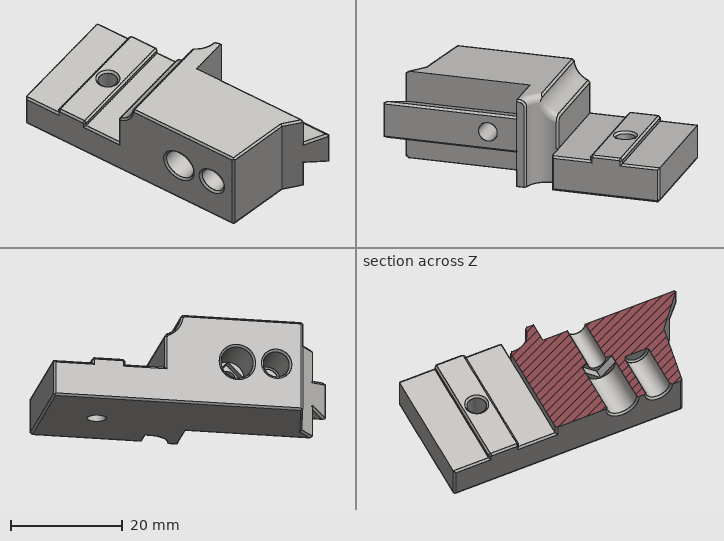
import cadquery as cq
import math

depth = 23.05
height = 16.6
mid_height = height / 2
edge_chamfer = 0.35

foot_length = 20.25
foot_height = 6.6
rib_start = 7.0
rib_width = 6.0
rib_top = 7.6
foot_hole_diameter = 3.5
foot_hole_rim = 4.3

scallop_radius = 4.0
scallop_centre_x = 19.2

notch_radius = 4.0
notch_centre_x = 21.1
notch_floor_y = 19.15
rim_radius = 1.4

pillar_end_x = 26.8
body_back_y = 15.2
rail_back_y = notch_floor_y
rail_half_width = 3.45
rail_flank_angle = 15
rail_bevel_depth = 0.5
tip_x = 53.1
tip_y = 18.85
tip_blunting = 0.2
knee_x = 47.5
knee_y = 12.1
lower_end_angle = 10

square_bore_x = 33.45
square_bore_diameter = 5.9
square_bore_rim = 6.65
square_bore_depth = 9.05
square_depth = 10.6
through_diameter = 3.5
blind_bore_x = 40.6
blind_bore_z = 8.45
blind_bore_diameter = 4.7
blind_bore_rim = 5.5
blind_bore_floor = 4.1
blind_bore_depth = 9.05


def end_x(y):
    """X of the slanted end faces at a given Y."""
    if y < knee_y:
        return knee_x - (knee_y - y) * math.tan(math.radians(lower_end_angle))
    return knee_x + (tip_x - knee_x) * (y - knee_y) / (tip_y - knee_y)


def side_profile():
    """Side outline of foot, rib, scalloped wall and block, swept over the full depth."""
    rib_end = rib_start + rib_width
    scallop_low_z = height - math.sqrt(scallop_radius**2 - (foot_length - scallop_centre_x) ** 2)
    diagonal = scallop_radius * math.sqrt(0.5)
    return (
        cq.Workplane("XZ")
        .moveTo(0, 0)
        .lineTo(0, foot_height)
        .lineTo(rib_start, foot_height)
        .lineTo(rib_start, rib_top - edge_chamfer)
        .lineTo(rib_start + edge_chamfer, rib_top)
        .lineTo(rib_end - edge_chamfer, rib_top)
        .lineTo(rib_end, rib_top - edge_chamfer)
        .lineTo(rib_end, foot_height)
        .lineTo(foot_length, foot_height)
        .lineTo(foot_length, scallop_low_z)
        .threePointArc(
            (scallop_centre_x + diagonal, height - diagonal),
            (scallop_centre_x + scallop_radius, height),
        )
        .lineTo(tip_x, height)
        .lineTo(tip_x, 0)
        .close()
        .extrude(-depth)
    )


def plan_outline():
    """Plan of the block without the rail: foot, notch, shoulder and slanted end."""
    diagonal = notch_radius * math.sqrt(0.5)
    centre_y = notch_floor_y + notch_radius
    notch_mouth = notch_centre_x + math.sqrt(notch_radius**2 - (centre_y - depth) ** 2)
    return (
        cq.Workplane("XY")
        .moveTo(0, 0)
        .lineTo(end_x(0), 0)
        .lineTo(knee_x, knee_y)
        .lineTo(end_x(body_back_y), body_back_y)
        .lineTo(pillar_end_x, body_back_y)
        .lineTo(pillar_end_x, depth)
        .lineTo(notch_mouth, depth)
        .threePointArc((notch_centre_x + diagonal, centre_y - diagonal), (notch_centre_x, notch_floor_y))
        .lineTo(foot_length, notch_floor_y)
        .lineTo(foot_length, depth)
        .lineTo(0, depth)
        .close()
        .extrude(height)
    )


def edges_in(low, high):
    """Selector for edges whose centre lies inside the box between two corners."""
    return cq.selectors.BoxSelector(low, high)


def dovetail_rail():
    """Rail along the back whose flanks widen toward +Y, with a slanted, blunted end."""
    wide_y = rail_back_y - rail_bevel_depth
    neck = rail_half_width - (wide_y - body_back_y) * math.tan(math.radians(rail_flank_angle))
    back_half_width = rail_half_width - edge_chamfer
    half_section = [(body_back_y, neck), (wide_y, rail_half_width), (rail_back_y, back_half_width)]
    mirrored_half = [(y, -half_width) for y, half_width in reversed(half_section)]
    sharp_tip_x = end_x(rail_back_y)
    rail = (
        cq.Workplane("YZ", origin=(pillar_end_x, 0, mid_height))
        .polyline(half_section + mirrored_half)
        .close()
        .extrude(sharp_tip_x - pillar_end_x)
    )
    slanted_end = [
        (end_x(body_back_y), body_back_y),
        (sharp_tip_x, rail_back_y),
        (sharp_tip_x, body_back_y),
    ]
    rail = rail.cut(cq.Workplane("XY").polyline(slanted_end).close().extrude(height))
    flank_ends = edges_in((pillar_end_x + 0.55, body_back_y + 0.05, 0), (tip_x, rail_back_y - 0.05, height))
    rail = rail.edges(flank_ends).edges("not #Z").chamfer(edge_chamfer)
    blunt_tip = [
        (tip_x, tip_y),
        (tip_x - tip_blunting, rail_back_y),
        (sharp_tip_x, rail_back_y),
        (sharp_tip_x, tip_y),
    ]
    return rail.cut(cq.Workplane("XY").polyline(blunt_tip).close().extrude(height))


def chamfer_edges(solid, low, high, direction):
    """Chamfer the edges that lie in a box and match a direction filter."""
    return solid.edges(edges_in(low, high)).edges(direction).chamfer(edge_chamfer)


def rounded_wall_rim(solid):
    """Round the edge where the notch breaks through the scallop and the top face."""
    low = (foot_length, notch_floor_y - 0.55, foot_height + 0.55)
    high = (pillar_end_x - 0.55, depth - 0.55, height + 0.55)
    return solid.edges(edges_in(low, high)).edges("not |Z").fillet(rim_radius)


def scallop_brow():
    """Wedge that bevels the edge between the scallop and the top face."""
    brow_x = scallop_centre_x + scallop_radius
    return (
        cq.Workplane("XZ")
        .moveTo(brow_x - edge_chamfer, height - 2 * edge_chamfer)
        .lineTo(brow_x + edge_chamfer, height)
        .lineTo(brow_x - edge_chamfer, height)
        .close()
        .extrude(-depth)
    )


def bevelled(solid):
    """Break the outer edges of the foot, wall, pillar and block."""
    above = height + 0.55
    wall_low = (foot_length - 0.05, notch_floor_y - 0.05, foot_height + 0.55)
    wall_high = (foot_length + 0.05, notch_floor_y + 0.05, above)
    solid = chamfer_edges(solid, wall_low, wall_high, "|Z")
    solid = solid.cut(scallop_brow())
    solid = solid.faces("<Y").edges().chamfer(edge_chamfer)
    end_low = (end_x(0) - 0.55, 0.55, -0.55)
    end_high = (tip_x, body_back_y - 0.05, above)
    solid = chamfer_edges(solid, end_low, end_high, "#Z and (not |X)")
    solid = solid.edges("|Y and <X and <Z").chamfer(edge_chamfer)
    foot_high = (foot_length + 0.05, depth + 0.55, above)
    solid = solid.faces(">Y").edges(edges_in((-0.55, 0, -0.55), foot_high)).chamfer(edge_chamfer)
    pillar_low = (foot_length + 0.55, 0, 0.55)
    pillar_high = (pillar_end_x - 0.05, depth + 0.55, above)
    return solid.faces(">Y").edges(edges_in(pillar_low, pillar_high)).chamfer(edge_chamfer)


def front_bore(x, z, diameter, bore_depth):
    """Round bore running from the front face toward +Y."""
    return cq.Workplane("XZ", origin=(x, 0, z)).circle(diameter / 2).extrude(-bore_depth)


def cone(start, axis, large_diameter, small_diameter):
    """45 degree cone that narrows from its start point along an axis."""
    length = (large_diameter - small_diameter) / 2
    return cq.Workplane(cq.Solid.makeCone(large_diameter / 2, small_diameter / 2, length, start, axis))


def square_seat_bore():
    """Bore with a square seat at its floor and a through hole behind it."""
    into_part = cq.Vector(0, 1, 0)
    mouth = cq.Vector(square_bore_x, 0, mid_height)
    square_side = square_bore_diameter * math.sqrt(0.5)
    seat = (
        cq.Workplane("XZ", origin=(square_bore_x, 0, mid_height))
        .transformed(rotate=(0, 0, 45))
        .rect(square_side, square_side)
        .extrude(-square_depth)
    )
    return (
        front_bore(square_bore_x, mid_height, square_bore_diameter, square_bore_depth)
        .union(cone(mouth, into_part, square_bore_rim, square_bore_diameter))
        .union(seat)
        .union(front_bore(square_bore_x, mid_height, through_diameter, depth))
    )


def blind_bore():
    """Blind bore with a bevelled mouth and a bevelled floor."""
    into_part = cq.Vector(0, 1, 0)
    mouth = cq.Vector(blind_bore_x, 0, blind_bore_z)
    floor = cq.Vector(blind_bore_x, blind_bore_depth, blind_bore_z)
    return (
        front_bore(blind_bore_x, blind_bore_z, blind_bore_diameter, blind_bore_depth)
        .union(cone(mouth, into_part, blind_bore_rim, blind_bore_diameter))
        .union(cone(floor, into_part, blind_bore_diameter, blind_bore_floor))
    )


def foot_hole():
    """Countersunk vertical hole through the rib and foot."""
    x = rib_start + rib_width / 2
    y = depth / 2
    shaft = cq.Workplane("XY").center(x, y).circle(foot_hole_diameter / 2).extrude(rib_top)
    rim = cone(cq.Vector(x, y, rib_top), cq.Vector(0, 0, -1), foot_hole_rim, foot_hole_diameter)
    return shaft.union(rim)


block = bevelled(rounded_wall_rim(side_profile().intersect(plan_outline())))
result = (
    block.union(dovetail_rail())
    .cut(square_seat_bore())
    .cut(blind_bore())
    .cut(foot_hole())
)